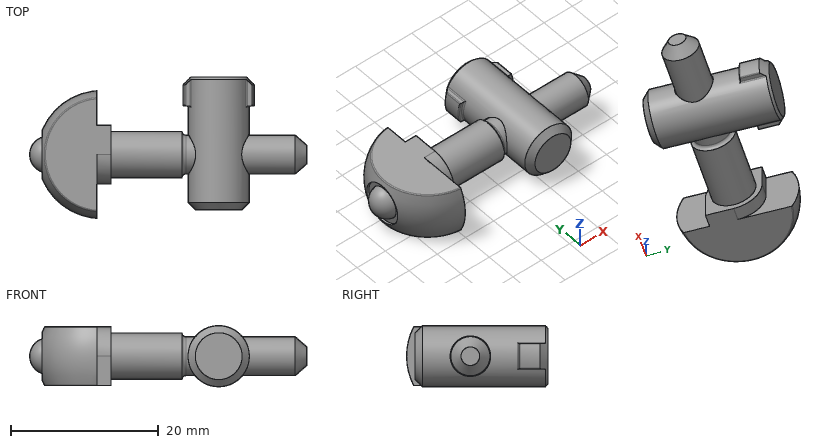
import cadquery as cq
import math

total_length = 37.57

plunger_diameter = 6.5
plunger_face_x = 2.05
ball_diameter = 5.0

head_radius = 8.68
head_height = 8.0
head_edge_fillet = 0.2
head_back_x = 9.13
plunger_end_x = head_back_x
nose_rim_x = 1.7
head_center_x = nose_rim_x + math.sqrt(head_radius**2 - (plunger_diameter / 2) ** 2)

neck_end_x = 11.05
stem_diameter = 6.3
stem_end_x = 20.65
pin_diameter = 5.3
tip_diameter = 2.5
tip_length = 1.58
step_fillet = (stem_diameter - pin_diameter) / 2

barrel_x = 25.62
barrel_diameter = 8.3
barrel_front_y = -7.48
barrel_back_y = 10.52
barrel_hole_diameter = 5.5
front_chamfer = 0.98
back_chamfer = 0.38

key_span = 9.7
key_width = 3.45
key_start_y = 6.57
key_edge_fillet = 0.15
key_root_fillet = 0.2


def make_ball():
    return cq.Workplane("XY").sphere(ball_diameter / 2).translate((ball_diameter / 2, 0, 0))


def make_head():
    """Ball cut flat at the back, the top and the bottom."""
    sphere = cq.Workplane("XY").sphere(head_radius).translate((head_center_x, 0, 0))
    slab = cq.Workplane("XY").box(
        head_back_x, 2 * head_radius, head_height, centered=(False, True, True)
    )
    head = sphere.intersect(slab)
    rims = head.faces("|Z").edges("%CIRCLE")
    return head.newObject(rims.vals()).fillet(head_edge_fillet)


def make_neck():
    """Round collar with two opposite square corners, which stop the bolt after a quarter turn."""
    half = head_height / 2
    length = neck_end_x - head_back_x
    neck = cq.Workplane("YZ", origin=(head_back_x, 0, 0)).circle(half).extrude(length)
    for side in (1, -1):
        corner = (
            cq.Workplane("YZ", origin=(head_back_x, 0, 0))
            .center(side * half / 2, side * half / 2)
            .rect(half, half)
            .extrude(length)
        )
        neck = neck.union(corner)
    return neck


def make_stem():
    """Turned stem that steps down through a concave fillet to a pin with a tapered tip."""
    stem_radius = stem_diameter / 2
    pin_radius = pin_diameter / 2
    arc_offset = step_fillet * (1 - math.sqrt(0.5))
    return (
        cq.Workplane("XY")
        .moveTo(head_back_x, 0)
        .lineTo(head_back_x, stem_radius)
        .lineTo(stem_end_x, stem_radius)
        .threePointArc(
            (stem_end_x + arc_offset, pin_radius + arc_offset),
            (stem_end_x + step_fillet, pin_radius),
        )
        .lineTo(total_length - tip_length, pin_radius)
        .lineTo(total_length, tip_diameter / 2)
        .lineTo(total_length, 0)
        .close()
        .revolve(360, (0, 0, 0), (1, 0, 0))
    )


def make_t_bolt():
    """Head, neck and stem in one piece, with a round bore in the nose for the plunger."""
    bolt = make_head().union(make_neck()).union(make_stem())
    bore = cq.Workplane("YZ").circle(plunger_diameter / 2).extrude(plunger_end_x)
    return bolt.cut(bore)


def make_plunger_sleeve():
    """Plug in the nose bore, set slightly below the rim, with a round seat for the ball."""
    sleeve = cq.Workplane("YZ", origin=(plunger_face_x, 0, 0))
    sleeve = sleeve.circle(plunger_diameter / 2).extrude(plunger_end_x - plunger_face_x)
    return sleeve.cut(make_ball())


def y_cylinder(diameter, start_y, end_y):
    """Cylinder around the barrel axis."""
    plane = cq.Plane(origin=(barrel_x, start_y, 0), xDir=(1, 0, 0), normal=(0, 1, 0))
    return cq.Workplane(plane).circle(diameter / 2).extrude(end_y - start_y)


def make_key_bar():
    """Bar across the barrel whose two rounded ends stand out as the keys."""
    key_length = barrel_back_y - key_start_y
    bar = cq.Workplane("XY").box(key_span, key_length, key_width, centered=(True, False, True))
    bar = bar.translate((barrel_x, key_start_y, 0))
    bar = bar.intersect(y_cylinder(key_span, key_start_y, barrel_back_y))
    outer_edges = bar.faces("<X or >X").edges("not >Y")
    return bar.newObject(outer_edges.vals()).fillet(key_edge_fillet)


def round_key_root(barrel, side):
    """Fillet the three edges where the sides and front of one key meet the barrel."""
    barrel_radius = barrel_diameter / 2
    inner_x = barrel_x + side * (barrel_radius - 4 * key_root_fillet)
    outer_x = barrel_x + side * (barrel_radius + key_root_fillet)
    root_edges = cq.selectors.BoxSelector(
        (inner_x, key_start_y - key_root_fillet, -key_width),
        (outer_x, barrel_back_y - key_root_fillet, key_width),
    )
    return barrel.edges(root_edges).edges("not |X").fillet(key_root_fillet)


def make_back_cone():
    """45 degree cone that trims the barrel and its keys at the back end."""
    end_radius = barrel_diameter / 2 - back_chamfer
    depth = barrel_back_y - barrel_front_y
    base = cq.Vector(barrel_x, barrel_front_y, 0)
    cone = cq.Solid.makeCone(end_radius + depth, end_radius, depth, base, cq.Vector(0, 1, 0))
    return cq.Workplane("XY").add(cone)


def make_barrel():
    barrel = y_cylinder(barrel_diameter, barrel_front_y, barrel_back_y)
    barrel = barrel.faces("<Y").chamfer(front_chamfer).union(make_key_bar())
    for side in (1, -1):
        barrel = round_key_root(barrel, side)
    barrel = barrel.intersect(make_back_cone())
    hole = (
        cq.Workplane("YZ", origin=(barrel_x, 0, 0))
        .circle(barrel_hole_diameter / 2)
        .extrude(barrel_diameter, both=True)
    )
    return barrel.cut(hole)


t_bolt = make_t_bolt()
plunger_sleeve = make_plunger_sleeve()
ball = make_ball()
barrel = make_barrel()

result = cq.Compound.makeCompound(
    [*t_bolt.solids().vals(), plunger_sleeve.val(), ball.val(), *barrel.solids().vals()]
)